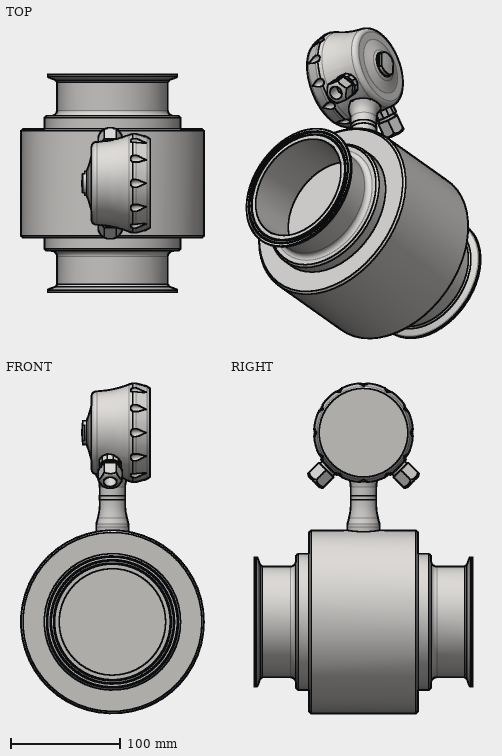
import cadquery as cq
import math

OVERALL_LENGTH = 200.0
BODY_RADIUS = 84.0
BODY_HALF_LENGTH = 50.0
BODY_CHAMFER = 2.0
COLLAR_RADIUS = 62.5
COLLAR_END_Y = 62.0
COLLAR_CHAMFER = 2.0
PIPE_RADIUS = 50.9
BORE_RADIUS = 97.6 / 2
ROOT_FILLET = 5.0
FERRULE_RADIUS = 119.0 / 2
FERRULE_RIM_DEPTH = 1.9
FERRULE_SLOPE_OUTER_DEPTH = 3.1
FERRULE_SLOPE_OUTER_RADIUS = 58.4
FERRULE_SLOPE_INNER_DEPTH = 5.4
FERRULE_SLOPE_INNER_RADIUS = 52.3
FERRULE_ROOT_DEPTH = 7.3
SEAL_GROOVE_CENTER_RADIUS = 55.0
SEAL_GROOVE_HALF_WIDTH = 2.0
SEAL_GROOVE_BOTTOM_HALF_WIDTH = 1.0
SEAL_GROOVE_BEVEL_DEPTH = 0.5
SEAL_GROOVE_DEPTH = 1.5

PEDESTAL_BURIED_Z = 50.0
PEDESTAL_FOOT_RADIUS = 30.0 / 2
FOOT_TAPER_RADIUS = 14.8
PEDESTAL_NECK_RADIUS = 11.85
PEDESTAL_JOINT_RADIUS = 11.9
FOOT_TOP_Z = 87.2
FOOT_TAPER_Z = 90.0
TAPER_TOP_Z = 95.4
TAPER_TOP_RADIUS = 13.4
NECK_BOTTOM_Z = 111.8
JOINT_TOP_Z = 115.5
NECK_TOP_Z = 123.7
HEAD_FLARE_RADIUS = 16.0
HEAD_FLARE_Z = 136.0

HEAD_Z = 173.4
LID_RADIUS = 45.5
LID_SEAM_X = 15.0
LID_SEAM_RADIUS = 44.3
LID_BAND_START_X = 18.5
LID_BAND_END_X = 21.5
LID_TAPER_END_X = 31.5
LID_TAPER_END_RADIUS = 42.6
LID_END_X = 34.6
LID_END_RADIUS = 81.2 / 2
HOUSING_BACK_X = -19.2
HOUSING_FILLET_X = -14.2
HOUSING_BACK_RADIUS = 38.0
HOUSING_FLAT_RADIUS = 33.4
BACK_CONE_RADIUS = 26.0
BACK_DISH_MIDPOINT = (-20.6, 20.0)
BACK_EDGE_MIDPOINT = (-17.8, 36.7)
HOUSING_FLARE_MIDPOINT = (0.7, 40.0)
HUB_RADIUS = 30.0 / 2
HUB_X = -22.2

PLUG_SEAT_RADIUS = 23.5 / 2
PLUG_SEAT_X = -23.5
PLUG_RADIUS = 22.0 / 2
PLUG_FLATS_END_X = -25.2
PLUG_TIP_X = -27.2
PLUG_DOME_X = -28.1
PLUG_ACROSS_FLATS = 17.2

NOTCH_COUNT = 12
NOTCH_RADIUS = 3.6
NOTCH_START_X = 16.9
NOTCH_LENGTH = LID_TAPER_END_X - NOTCH_START_X
NOTCH_START_RADIUS = 46.5
NOTCH_WIDEST = 3.6
NOTCH_TILT = math.degrees(math.atan2(NOTCH_START_RADIUS - LID_TAPER_END_RADIUS, NOTCH_LENGTH))

GLAND_X = -2.0
GLAND_ANGLE = 45.0
GLAND_NECK_SIDES = 12
GLAND_NECK_DIAMETER = 21.0
GLAND_NECK_START = 30.0
GLAND_NECK_END = 45.0
GLAND_COLLAR_RADIUS = 16.69 / 2
NUT_START = 48.2
NUT_END = 63.8
NUT_SIDES = 6
NUT_CORNER_DIAMETER = 22.0
NUT_ROUNDING_LENGTH = 3.2
CABLE_HOLE_DIAMETER = 12.0


def make_half_meter():
    """Half of the meter body on the -Y side; profile is (radius, y)."""
    face_y = -OVERALL_LENGTH / 2
    bevel_y = face_y + SEAL_GROOVE_BEVEL_DEPTH
    root_offset = ROOT_FILLET * (1 - math.sqrt(0.5))
    profile = (
        cq.Workplane("XY")
        .moveTo(0, 0)
        .lineTo(BODY_RADIUS, 0)
        .lineTo(BODY_RADIUS, BODY_CHAMFER - BODY_HALF_LENGTH)
        .lineTo(BODY_RADIUS - BODY_CHAMFER, -BODY_HALF_LENGTH)
        .lineTo(COLLAR_RADIUS, -BODY_HALF_LENGTH)
        .lineTo(COLLAR_RADIUS, COLLAR_CHAMFER - COLLAR_END_Y)
        .lineTo(COLLAR_RADIUS - COLLAR_CHAMFER, -COLLAR_END_Y)
        .lineTo(PIPE_RADIUS + ROOT_FILLET, -COLLAR_END_Y)
        .threePointArc(
            (PIPE_RADIUS + root_offset, -COLLAR_END_Y - root_offset),
            (PIPE_RADIUS, -COLLAR_END_Y - ROOT_FILLET),
        )
        .lineTo(PIPE_RADIUS, face_y + FERRULE_ROOT_DEPTH)
        .lineTo(FERRULE_SLOPE_INNER_RADIUS, face_y + FERRULE_SLOPE_INNER_DEPTH)
        .lineTo(FERRULE_SLOPE_OUTER_RADIUS, face_y + FERRULE_SLOPE_OUTER_DEPTH)
        .tangentArcPoint((FERRULE_RADIUS, face_y + FERRULE_RIM_DEPTH), relative=False)
        .lineTo(FERRULE_RADIUS, face_y)
        .lineTo(SEAL_GROOVE_CENTER_RADIUS + SEAL_GROOVE_HALF_WIDTH, face_y)
        .lineTo(SEAL_GROOVE_CENTER_RADIUS + SEAL_GROOVE_BOTTOM_HALF_WIDTH, bevel_y)
        .threePointArc(
            (SEAL_GROOVE_CENTER_RADIUS, face_y + SEAL_GROOVE_DEPTH),
            (SEAL_GROOVE_CENTER_RADIUS - SEAL_GROOVE_BOTTOM_HALF_WIDTH, bevel_y),
        )
        .lineTo(SEAL_GROOVE_CENTER_RADIUS - SEAL_GROOVE_HALF_WIDTH, face_y)
        .lineTo(BORE_RADIUS, face_y)
        .lineTo(BORE_RADIUS, -BODY_HALF_LENGTH)
        .lineTo(0, -BODY_HALF_LENGTH)
        .close()
    )
    return profile.revolve(360, (0, 0, 0), (0, 1, 0))


def make_pedestal():
    """Flared post from the body up into the head; profile is (radius, z)."""
    profile = (
        cq.Workplane("XZ")
        .moveTo(0, PEDESTAL_BURIED_Z)
        .lineTo(PEDESTAL_FOOT_RADIUS, PEDESTAL_BURIED_Z)
        .lineTo(PEDESTAL_FOOT_RADIUS, FOOT_TOP_Z)
        .lineTo(FOOT_TAPER_RADIUS, FOOT_TAPER_Z)
        .lineTo(TAPER_TOP_RADIUS, TAPER_TOP_Z)
        .tangentArcPoint((PEDESTAL_NECK_RADIUS, NECK_BOTTOM_Z), relative=False)
        .lineTo(PEDESTAL_JOINT_RADIUS, NECK_BOTTOM_Z)
        .lineTo(PEDESTAL_JOINT_RADIUS, JOINT_TOP_Z)
        .lineTo(PEDESTAL_NECK_RADIUS, JOINT_TOP_Z)
        .lineTo(PEDESTAL_NECK_RADIUS, NECK_TOP_Z)
        .tangentArcPoint((HEAD_FLARE_RADIUS, HEAD_FLARE_Z), relative=False)
        .lineTo(0, HEAD_FLARE_Z)
        .close()
    )
    return profile.revolve(360, (0, 0, 0), (0, 1, 0))


def make_head():
    """Housing, lid and plug; profile is (x, radius about the head axis)."""
    profile = (
        cq.Workplane("XY")
        .moveTo(PLUG_DOME_X, 0)
        .lineTo(PLUG_TIP_X, PLUG_RADIUS)
        .lineTo(PLUG_SEAT_X, PLUG_RADIUS)
        .lineTo(PLUG_SEAT_X, PLUG_SEAT_RADIUS)
        .lineTo(HUB_X, HUB_RADIUS)
        .threePointArc(BACK_DISH_MIDPOINT, (HOUSING_BACK_X, BACK_CONE_RADIUS))
        .lineTo(HOUSING_BACK_X, HOUSING_FLAT_RADIUS)
        .threePointArc(BACK_EDGE_MIDPOINT, (HOUSING_FILLET_X, HOUSING_BACK_RADIUS))
        .threePointArc(HOUSING_FLARE_MIDPOINT, (LID_SEAM_X, LID_SEAM_RADIUS))
        .lineTo(LID_BAND_START_X, LID_RADIUS)
        .lineTo(LID_BAND_END_X, LID_RADIUS)
        .lineTo(LID_TAPER_END_X, LID_TAPER_END_RADIUS)
        .lineTo(LID_END_X, LID_END_RADIUS)
        .lineTo(LID_END_X, 0)
        .close()
    )
    head = profile.revolve(360, (0, 0, 0), (1, 0, 0))
    head = head.cut(make_plug_flats())
    for index in range(NOTCH_COUNT):
        head = head.cut(make_notch(index * 360 / NOTCH_COUNT))
    return head.translate((0, 0, HEAD_Z))


def make_plug_flats():
    length = PLUG_FLATS_END_X - PLUG_DOME_X
    slab = cq.Workplane("XY").box(length, PLUG_RADIUS, 2 * PLUG_RADIUS)
    offset_y = (PLUG_ACROSS_FLATS + PLUG_RADIUS) / 2
    center_x = (PLUG_FLATS_END_X + PLUG_DOME_X) / 2
    flats = slab.translate((center_x, offset_y, 0))
    return flats.union(slab.translate((center_x, -offset_y, 0)))


def make_notch(angle):
    """Teardrop cutter whose axis dives along the lid and runs out at the taper end."""
    teardrop = (
        cq.Workplane("XZ")
        .spline(
            [(0, 0), (NOTCH_WIDEST, NOTCH_RADIUS), (NOTCH_LENGTH, 0)],
            tangents=[(0, 1), (1, 0), (NOTCH_LENGTH - NOTCH_WIDEST, -NOTCH_RADIUS)],
        )
        .close()
        .revolve(360, (0, 0, 0), (1, 0, 0))
    )
    teardrop = teardrop.rotate((0, 0, 0), (0, 1, 0), NOTCH_TILT)
    teardrop = teardrop.translate((NOTCH_START_X, 0, NOTCH_START_RADIUS))
    return teardrop.rotate((0, 0, 0), (1, 0, 0), angle)


def make_gland(side):
    """Gland built along +Z, then swung down to the +Y (side=1) or -Y (side=-1) side."""
    neck = cq.Workplane("XY", origin=(0, 0, GLAND_NECK_START))
    neck = neck.polygon(GLAND_NECK_SIDES, GLAND_NECK_DIAMETER)
    neck = neck.extrude(GLAND_NECK_END - GLAND_NECK_START)
    neck = neck.rotate((0, 0, 0), (0, 0, 1), 180 / GLAND_NECK_SIDES)
    collar = cq.Workplane("XY", origin=(0, 0, GLAND_NECK_START)).circle(GLAND_COLLAR_RADIUS)
    collar = collar.extrude(NUT_START - GLAND_NECK_START)
    nut = cq.Workplane("XY", origin=(0, 0, NUT_START)).polygon(NUT_SIDES, NUT_CORNER_DIAMETER)
    nut = nut.extrude(NUT_END - NUT_START)
    corner_radius = NUT_CORNER_DIAMETER / 2
    hole_radius = CABLE_HOLE_DIAMETER / 2
    envelope = (
        cq.Workplane("XZ")
        .moveTo(corner_radius, NUT_START)
        .lineTo(0, NUT_START)
        .lineTo(0, NUT_END)
        .lineTo(hole_radius, NUT_END)
        .tangentArcPoint((corner_radius, NUT_END - NUT_ROUNDING_LENGTH), relative=False)
        .close()
        .revolve(360, (0, 0, 0), (0, 1, 0))
    )
    gland = neck.union(collar).union(nut.intersect(envelope))
    cable_hole = cq.Workplane("XY", origin=(0, 0, NUT_START)).circle(hole_radius)
    gland = gland.cut(cable_hole.extrude(NUT_END - NUT_START))
    gland = gland.rotate((0, 0, 0), (1, 0, 0), -side * (90 + GLAND_ANGLE))
    return gland.translate((GLAND_X, 0, HEAD_Z))


half_meter = make_half_meter()
result = half_meter.union(half_meter.mirror("XZ"))
result = result.union(make_pedestal()).union(make_head())
for gland_side in (1, -1):
    result = result.union(make_gland(gland_side))